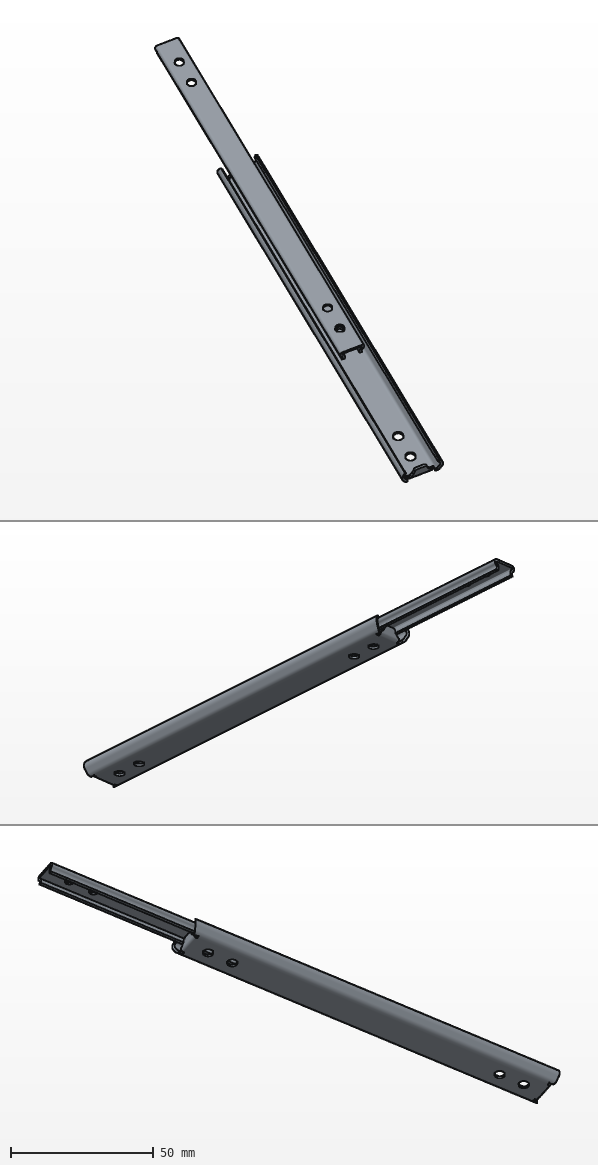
import cadquery as cq
import math

TOTAL_LENGTH = 207.3
MEMBER_LENGTH = 150.0
CHANNEL_HEIGHT = 6.5
RAIL_RISE = 1.08
TOTAL_HEIGHT = CHANNEL_HEIGHT + RAIL_RISE
SHEET = 1.0
CHANNEL_START = TOTAL_LENGTH - MEMBER_LENGTH
CHANNEL_MIDDLE = CHANNEL_START + MEMBER_LENGTH / 2
RAIL_MIDDLE = MEMBER_LENGTH / 2

HOLE_PITCH = 10.0
OUTER_HOLE_OFFSET = MEMBER_LENGTH / 2 - HOLE_PITCH
INNER_HOLE_OFFSET = OUTER_HOLE_OFFSET - HOLE_PITCH
HOLE_OFFSETS = (-OUTER_HOLE_OFFSET, -INNER_HOLE_OFFSET, INNER_HOLE_OFFSET, OUTER_HOLE_OFFSET)
RAIL_HOLE_DIAMETER = 3.3
CHANNEL_HOLE_DIAMETER = 3.7

FLOOR_HALF = 4.8
BEND_RADIUS = 2.3
RACE_RADIUS = 2.7
CHANNEL_HALF = 16.0 / 2
RACE_Y = CHANNEL_HALF - RACE_RADIUS
RACE_Z = 4.1
RACE_LIP_ANGLE = math.asin((CHANNEL_HEIGHT - RACE_Z) / RACE_RADIUS)
CENTRE_DISTANCE = math.hypot(RACE_Y - FLOOR_HALF, RACE_Z - BEND_RADIUS)
CENTRE_ANGLE = math.atan2(RACE_Z - BEND_RADIUS, RACE_Y - FLOOR_HALF)
FLANK_ANGLE = CENTRE_ANGLE - math.acos((BEND_RADIUS - RACE_RADIUS) / CENTRE_DISTANCE)

WALL_SLANT_DEPTH = 1.0
NOTCH_HALF = 5.4
RELIEF_DEPTH = 2.7
TAB_SETBACK = 1.35
TAB_BASE_HALF = 4.4
TAB_SHOULDER = (2.5, 3.5)
TAB_FLARE = (3.1, 2.3)
TAB_TOP_CORNER = (2.3, 4.1)
TAB_TOP_HALF = 1.5
TAB_TOP_Z = 4.5
TAB_BEND_RADIUS = 1.2

PLATE_HALF = 3.5
SHOULDER_RADIUS = 1.2
SHOULDER_Z = TOTAL_HEIGHT - SHOULDER_RADIUS
LEG_RACE_Y = 5.2
LEG_RACE_Z = 4.1
LEG_BOTTOM_Z = 3.3
LEG_DROP_ANGLE = math.atan2(LEG_RACE_Z - SHOULDER_Z, LEG_RACE_Y - PLATE_HALF)
LEG_RACE_RADIUS = math.hypot(LEG_RACE_Y - PLATE_HALF, LEG_RACE_Z - SHOULDER_Z) - SHOULDER_RADIUS

BUTTON_X = RAIL_MIDDLE + OUTER_HOLE_OFFSET
BUTTON_BORE = 2.7
BUTTON_RADIUS = 1.9
BUTTON_HEIGHT = 1.2
BUTTON_ROUNDING = 0.6


def polar(y, z, radius, angle):
    """Point at an angle (radians from +Y towards +Z) on a circle in the YZ plane."""
    return (y + radius * math.cos(angle), z + radius * math.sin(angle))


def mirrored(half):
    """A half solid at +Y joined with its mirror image at -Y."""
    return half.union(half.mirror("XZ")).clean()


def mounting_holes(middle_x, bottom_z, diameter):
    """Cylinders through one sheet thickness at the four hole places of a member."""
    return (
        cq.Workplane("XY", origin=(middle_x, 0, bottom_z))
        .pushPoints([(offset, 0) for offset in HOLE_OFFSETS])
        .circle(diameter / 2)
        .extrude(SHEET)
    )


def channel_half():
    """The +Y half of the plain channel, bent from sheet of even thickness."""
    inner_bend = BEND_RADIUS - SHEET
    inner_race = RACE_RADIUS - SHEET
    down = -math.pi / 2
    bend_middle = (down + FLANK_ANGLE) / 2
    race_middle = (FLANK_ANGLE + RACE_LIP_ANGLE) / 2

    def bend(radius, angle):
        return polar(FLOOR_HALF, BEND_RADIUS, radius, angle)

    def race(radius, angle):
        return polar(RACE_Y, RACE_Z, radius, angle)

    return (
        cq.Workplane("YZ", origin=(CHANNEL_START, 0, 0))
        .moveTo(0, 0)
        .lineTo(FLOOR_HALF, 0)
        .threePointArc(bend(BEND_RADIUS, bend_middle), bend(BEND_RADIUS, FLANK_ANGLE))
        .lineTo(*race(RACE_RADIUS, FLANK_ANGLE))
        .threePointArc(race(RACE_RADIUS, race_middle), race(RACE_RADIUS, RACE_LIP_ANGLE))
        .lineTo(*race(inner_race, RACE_LIP_ANGLE))
        .threePointArc(race(inner_race, race_middle), race(inner_race, FLANK_ANGLE))
        .lineTo(*bend(inner_bend, FLANK_ANGLE))
        .threePointArc(bend(inner_bend, bend_middle), bend(inner_bend, down))
        .lineTo(0, SHEET)
        .close()
        .extrude(MEMBER_LENGTH)
    )


def end_cut():
    """Material removed at the left channel end: slanted walls, floor notch and tab reliefs."""
    start = CHANNEL_START
    half = (
        cq.Workplane("XY")
        .polyline([
            (start, 0),
            (start, CHANNEL_HALF),
            (start + WALL_SLANT_DEPTH, NOTCH_HALF),
            (start + RELIEF_DEPTH, NOTCH_HALF),
            (start + RELIEF_DEPTH, TAB_BASE_HALF),
            (start + TAB_SETBACK, TAB_BASE_HALF),
            (start + TAB_SETBACK, 0),
        ])
        .close()
        .extrude(TOTAL_HEIGHT)
    )
    return mirrored(half)


def stop_tab():
    """Flared tab standing on the floor at the left channel end, rounded where it bends up."""
    half = (
        cq.Workplane("YZ", origin=(CHANNEL_START + TAB_SETBACK, 0, 0))
        .moveTo(0, 0)
        .lineTo(TAB_BASE_HALF, 0)
        .lineTo(TAB_BASE_HALF, TAB_BEND_RADIUS)
        .threePointArc(TAB_FLARE, TAB_SHOULDER)
        .threePointArc(TAB_TOP_CORNER, (TAB_TOP_HALF, TAB_TOP_Z))
        .lineTo(0, TAB_TOP_Z)
        .close()
        .extrude(SHEET)
    )
    return mirrored(half)


def make_channel():
    """Outer member: channel with round holes and a stop tab at each end."""
    channel = mirrored(channel_half())
    channel = channel.cut(mounting_holes(CHANNEL_MIDDLE, 0, CHANNEL_HOLE_DIAMETER))
    middle = (CHANNEL_MIDDLE, 0, 0)
    left_cut = end_cut()
    left_tab = stop_tab()
    channel = channel.cut(left_cut).cut(left_cut.mirror("YZ", middle))
    channel = channel.union(left_tab).union(left_tab.mirror("YZ", middle)).clean()
    for end_x, inward in ((CHANNEL_START, 1), (TOTAL_LENGTH, -1)):
        outer_x = end_x + inward * TAB_SETBACK
        inner_x = outer_x + inward * SHEET
        outer_edge = cq.selectors.NearestToPointSelector((outer_x, 0, 0))
        inner_edge = cq.selectors.NearestToPointSelector((inner_x, 0, SHEET))
        channel = channel.edges(inner_edge).fillet(TAB_BEND_RADIUS - SHEET)
        channel = channel.edges(outer_edge).fillet(TAB_BEND_RADIUS)
    return channel


def rail_half():
    """The +Y half of the plain rail, bent from sheet of even thickness."""
    up = math.pi / 2
    shoulder_middle = (up + LEG_DROP_ANGLE) / 2
    leg_start = LEG_DROP_ANGLE + math.pi
    far_radius = LEG_RACE_RADIUS + SHEET

    def shoulder(radius, angle):
        return polar(PLATE_HALF, SHOULDER_Z, radius, angle)

    def leg(radius, angle):
        return polar(LEG_RACE_Y, LEG_RACE_Z, radius, angle)

    def leg_end(radius):
        return math.pi + math.asin((LEG_RACE_Z - LEG_BOTTOM_Z) / radius)

    def leg_middle(radius):
        return leg(radius, (leg_start + leg_end(radius)) / 2)

    inner = SHOULDER_RADIUS - SHEET
    return (
        cq.Workplane("YZ")
        .moveTo(0, TOTAL_HEIGHT)
        .lineTo(PLATE_HALF, TOTAL_HEIGHT)
        .threePointArc(
            shoulder(SHOULDER_RADIUS, shoulder_middle),
            shoulder(SHOULDER_RADIUS, LEG_DROP_ANGLE),
        )
        .threePointArc(leg_middle(LEG_RACE_RADIUS), leg(LEG_RACE_RADIUS, leg_end(LEG_RACE_RADIUS)))
        .lineTo(*leg(far_radius, leg_end(far_radius)))
        .threePointArc(leg_middle(far_radius), leg(far_radius, leg_start))
        .threePointArc(shoulder(inner, shoulder_middle), shoulder(inner, up))
        .lineTo(0, TOTAL_HEIGHT - SHEET)
        .close()
        .extrude(MEMBER_LENGTH)
    )


def stop_button():
    """Round button hanging from the plate below its last hole, bored through, with a rounded rim."""
    plate_underside = TOTAL_HEIGHT - SHEET
    return (
        cq.Workplane("XY", origin=(BUTTON_X, 0, plate_underside))
        .circle(BUTTON_RADIUS)
        .extrude(-BUTTON_HEIGHT)
        .faces("<Z")
        .edges()
        .fillet(BUTTON_ROUNDING)
        .faces("<Z")
        .workplane()
        .hole(BUTTON_BORE)
    )


def make_rail():
    """Inner member: rail with round holes and a stop button under its plate."""
    plate_underside = TOTAL_HEIGHT - SHEET
    holes = mounting_holes(RAIL_MIDDLE, plate_underside, RAIL_HOLE_DIAMETER)
    return mirrored(rail_half()).cut(holes).union(stop_button())


channel = make_channel()
rail = make_rail()

result = cq.Compound.makeCompound([channel.val(), rail.val()])